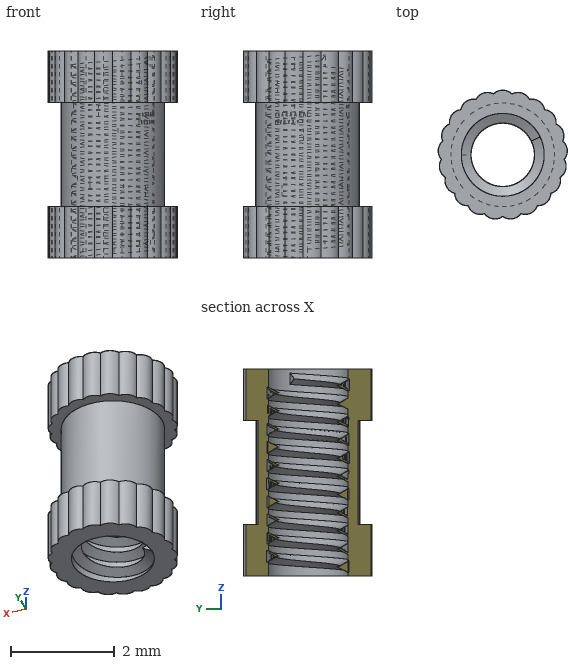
import cadquery as cq
import math

length = 4.0
body_diameter = 2.0
bore_diameter = 1.6

collar_height = 1.0
lobe_count = 21
lobe_diameter = 0.5
first_lobe_angle = 90.0
lobe_circle_radius = body_diameter / 2

pitch = 0.35
flank_angle = 30.0
ridge_width = 5 / 8 * pitch
thread_start_angle = 180.0
thread_top_gap = 0.3

bore_radius = bore_diameter / 2
ridge_height = ridge_width / 2 / math.tan(math.radians(flank_angle))
crest_radius = bore_radius - ridge_height
helix_rise = length - thread_top_gap


def make_collar(bottom_z):
    """Round lobes centred on the body surface, merged with the core they surround."""
    collar = cq.Workplane("XY").workplane(offset=bottom_z).circle(lobe_circle_radius).extrude(collar_height)
    for index in range(lobe_count):
        angle = math.radians(first_lobe_angle + index * 360 / lobe_count)
        lobe = (
            cq.Workplane("XY")
            .workplane(offset=bottom_z)
            .center(lobe_circle_radius * math.cos(angle), lobe_circle_radius * math.sin(angle))
            .circle(lobe_diameter / 2)
            .extrude(collar_height)
        )
        collar = collar.union(lobe)
    return collar


def make_thread_ridge():
    """Triangular ridge swept along a helix, its lower edge starting at the bottom face."""
    helix = cq.Wire.makeHelix(pitch, helix_rise, bore_radius)
    profile = cq.Workplane("XZ").polyline([
        (bore_radius, 0),
        (crest_radius, ridge_width / 2),
        (bore_radius, ridge_width),
    ]).close()
    ridge = profile.sweep(cq.Workplane(obj=helix), isFrenet=True)
    return ridge.rotate((0, 0, 0), (0, 0, 1), thread_start_angle)


body = cq.Workplane("XY").circle(body_diameter / 2).extrude(length)
bottom_collar = make_collar(0)
top_collar = make_collar(length - collar_height)
bore = cq.Workplane("XY").circle(bore_radius).extrude(length)

sleeve = body.union(bottom_collar).union(top_collar).cut(bore)
result = sleeve.union(make_thread_ridge())